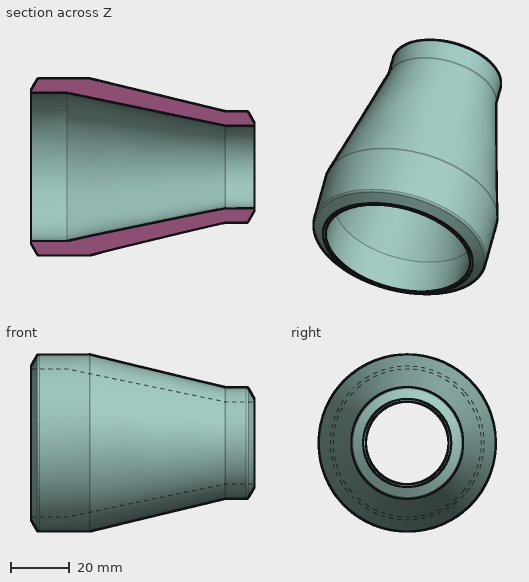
import cadquery as cq
import math

total_length = 76.0
large_collar_length = 20.0
small_collar_length = 10.0
large_bore_length = 12.2

large_outer_diameter = 60.3
large_bore_diameter = 50.3
small_outer_diameter = 38.0
small_bore_diameter = 28.0

land_width = 1.0
bevel_angle = 30.0
edge_radius = 1.0

large_outer_radius = large_outer_diameter / 2
large_bore_radius = large_bore_diameter / 2
large_land_radius = large_bore_radius + land_width
small_outer_radius = small_outer_diameter / 2
small_bore_radius = small_bore_diameter / 2
small_land_radius = small_bore_radius + land_width
cone_end = total_length - small_collar_length


def bevel_length(outer_radius, land_radius):
    """Axial length of the bevel that leaves the flat land around the bore."""
    return (outer_radius - land_radius) * math.tan(math.radians(bevel_angle))


large_bevel_end = bevel_length(large_outer_radius, large_land_radius)
small_bevel_start = total_length - bevel_length(small_outer_radius, small_land_radius)

wall_section = [
    (0, large_bore_radius),
    (0, large_land_radius),
    (large_bevel_end, large_outer_radius),
    (large_collar_length, large_outer_radius),
    (cone_end, small_outer_radius),
    (small_bevel_start, small_outer_radius),
    (total_length, small_land_radius),
    (total_length, small_bore_radius),
    (cone_end, small_bore_radius),
    (large_bore_length, large_bore_radius),
]
reducer = cq.Workplane("XY").polyline(wall_section).close().revolve(360, (0, 0, 0), (1, 0, 0))


def circle_edge_at(x, radius):
    """Select the circular edge of the given radius lying in the plane at x."""
    margin = 0.1
    return cq.selectors.BoxSelector(
        (x - margin, -radius - margin, -radius - margin),
        (x + margin, radius + margin, radius + margin),
        boundingbox=True,
    )


rounded_edges = [
    (large_bevel_end, large_outer_radius),
    (large_collar_length, large_outer_radius),
    (cone_end, small_outer_radius),
    (small_bevel_start, small_outer_radius),
]
for edge_x, edge_circle_radius in rounded_edges:
    reducer = reducer.edges(circle_edge_at(edge_x, edge_circle_radius)).fillet(edge_radius)

result = reducer